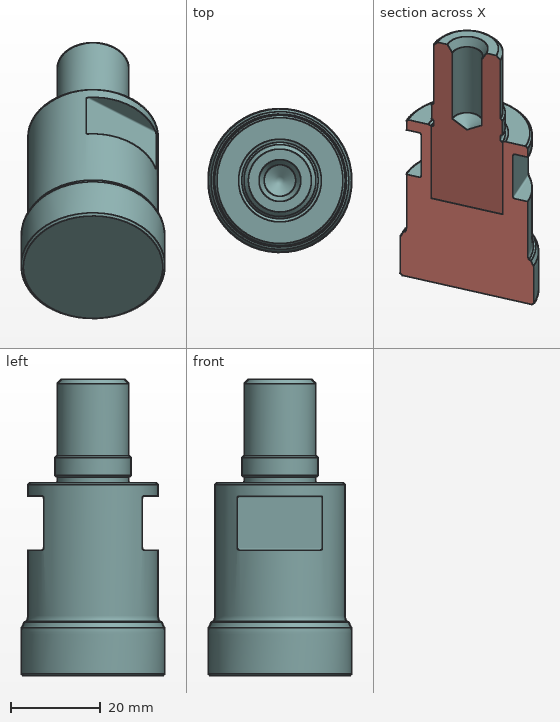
import cadquery as cq
import math

housing_height = 43.0
housing_radius = 29.0 / 2
housing_top_chamfer = 0.5

foot_radius = 32.02 / 2
foot_rim_radius = 30.6 / 2
foot_rim_z = 12.0
ledge_inner_radius = 14.8
ledge_inner_z = 12.2
blend_top_z = 13.36
foot_taper_radius = 15.75
foot_taper_z = 10.95
foot_step_radius = 15.92
foot_step_z = 10.75
foot_band_radius = 16.0
foot_band_top_z = 9.9
foot_land_top_z = 9.45
foot_land_bottom_z = 1.25
foot_band_bottom_z = 0.75
foot_bottom_radius = 15.5

flat_across = 22.0
flat_bottom_z = 28.0
flat_height = 12.0
flat_corner_radius = 0.4

bore_radius = 17.0 / 2
bore_bottom_z = 23.0
bore_chamfer_width = 0.7
bore_chamfer_depth = 0.25

spigot_top_z = 66.0
spigot_radius = 16.0 / 2
spigot_top_chamfer = 1.0
shoulder_radius = bore_radius
shoulder_step = shoulder_radius - spigot_radius
shoulder_top_z = 49.0
groove_top_z = 44.2
groove_bottom_z = 43.2
groove_flank_height = 0.4
groove_fillet_radius = shoulder_step

hole_radius = 7.0 / 2
hole_depth = 20.0
hole_tip_angle = 118.0
countersink_depth = 2.0
countersink_angle = 60.0


def revolve_about_z(outline):
    return outline.close().revolve(360, (0, 0, 0), (0, 1, 0))


def housing_blank():
    blend_angle = 2 * math.atan2(ledge_inner_radius - housing_radius, blend_top_z - ledge_inner_z)
    blend_radius = (blend_top_z - ledge_inner_z) / math.sin(blend_angle)
    blend_mid = (
        housing_radius + blend_radius * (1 - math.cos(blend_angle / 2)),
        blend_top_z - blend_radius * math.sin(blend_angle / 2),
    )
    outline = (
        cq.Workplane("XZ")
        .moveTo(0, 0)
        .lineTo(foot_bottom_radius, 0)
        .lineTo(foot_band_radius, foot_band_radius - foot_bottom_radius)
        .lineTo(foot_band_radius, foot_band_bottom_z)
        .lineTo(foot_radius, foot_land_bottom_z)
        .lineTo(foot_radius, foot_land_top_z)
        .lineTo(foot_band_radius, foot_band_top_z)
        .lineTo(foot_step_radius, foot_step_z)
        .lineTo(foot_taper_radius, foot_taper_z)
        .lineTo(foot_rim_radius, foot_rim_z)
        .lineTo(ledge_inner_radius, ledge_inner_z)
        .threePointArc(blend_mid, (housing_radius, blend_top_z))
        .lineTo(housing_radius, housing_height - housing_top_chamfer)
        .lineTo(housing_radius - housing_top_chamfer, housing_height)
        .lineTo(0, housing_height)
    )
    return revolve_about_z(outline)


def bore_cutter():
    outline = (
        cq.Workplane("XZ")
        .moveTo(0, bore_bottom_z)
        .lineTo(bore_radius, bore_bottom_z)
        .lineTo(bore_radius, housing_height - bore_chamfer_depth)
        .lineTo(bore_radius + bore_chamfer_width, housing_height)
        .lineTo(0, housing_height)
    )
    return revolve_about_z(outline)


def flat_cutter(side):
    block_depth = housing_radius
    return (
        cq.Workplane("XY")
        .box(2 * housing_radius, block_depth, flat_height, centered=(True, True, False))
        .edges("|X")
        .edges("<Y" if side > 0 else ">Y")
        .fillet(flat_corner_radius)
        .translate((0, side * (flat_across + block_depth) / 2, flat_bottom_z))
    )


def make_housing():
    housing = housing_blank().cut(bore_cutter())
    for side in (-1, 1):
        housing = housing.cut(flat_cutter(side))
    return housing


def centre_hole_cutter():
    countersink_radius = hole_radius + countersink_depth * math.tan(math.radians(countersink_angle / 2))
    hole_bottom_z = spigot_top_z - hole_depth
    tip_depth = hole_radius / math.tan(math.radians(hole_tip_angle / 2))
    outline = (
        cq.Workplane("XZ")
        .moveTo(0, hole_bottom_z - tip_depth)
        .lineTo(hole_radius, hole_bottom_z)
        .lineTo(hole_radius, spigot_top_z - countersink_depth)
        .lineTo(countersink_radius, spigot_top_z)
        .lineTo(0, spigot_top_z)
    )
    return revolve_about_z(outline)


def make_spigot():
    outline = (
        cq.Workplane("XZ")
        .moveTo(0, bore_bottom_z)
        .lineTo(shoulder_radius, bore_bottom_z)
        .lineTo(shoulder_radius, groove_bottom_z - groove_fillet_radius)
        .radiusArc((spigot_radius, groove_bottom_z), groove_fillet_radius)
        .lineTo(spigot_radius, groove_top_z)
        .lineTo(shoulder_radius, groove_top_z + groove_flank_height)
        .lineTo(shoulder_radius, shoulder_top_z - shoulder_step)
        .lineTo(spigot_radius, shoulder_top_z)
        .lineTo(spigot_radius, spigot_top_z - spigot_top_chamfer)
        .lineTo(spigot_radius - spigot_top_chamfer, spigot_top_z)
        .lineTo(0, spigot_top_z)
    )
    return revolve_about_z(outline).cut(centre_hole_cutter())


housing = make_housing()
spigot = make_spigot()

result = cq.Compound.makeCompound([housing.val(), spigot.val()])